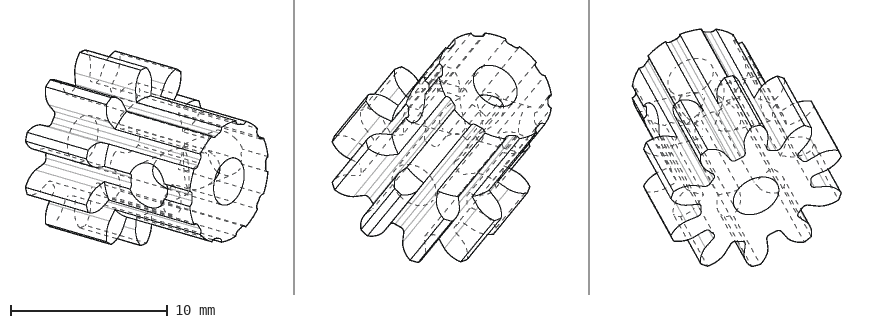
import cadquery as cq
import math

tooth_count = 10
total_length = 12.0
gear_length = 5.0
hub_radius = 4.0
bore_diameter = 3.1
cross_hole_diameter = 3.0

tip_radius = 6.0
tip_half_width = 0.29
belly_height = 4.75
belly_half_width = 0.82
root_radius = 3.73
root_half_width = 0.71
root_fillet = 0.31

tip_height = math.sqrt(tip_radius**2 - tip_half_width**2)
root_height = math.sqrt(root_radius**2 - root_half_width**2)


def flank_midpoint():
    """Middle of the flank arc that runs parallel to the tooth at its belly."""
    rise = tip_height - belly_height
    inset = belly_half_width - tip_half_width
    flank_radius = (rise**2 + inset**2) / (2 * inset)
    half_sweep = math.asin(rise / flank_radius) / 2
    across = belly_half_width - flank_radius * (1 - math.cos(half_sweep))
    height = belly_height + flank_radius * math.sin(half_sweep)
    return across, height


def rotated(point, angle):
    """Turn a profile point clockwise about the axis."""
    across, height = point
    return (
        across * math.cos(angle) + height * math.sin(angle),
        height * math.cos(angle) - across * math.sin(angle),
    )


def toothed_bar():
    """Full-length bar with the tooth outline and rounded roots."""
    pitch_angle = 2 * math.pi / tooth_count
    mid_across, mid_height = flank_midpoint()
    profile = cq.Workplane("YZ").moveTo(-root_half_width, root_height)
    for index in range(tooth_count):
        angle = index * pitch_angle

        def at(across, height):
            return rotated((across, height), angle)

        next_root = rotated((-root_half_width, root_height), angle + pitch_angle)
        profile = (
            profile.lineTo(*at(-belly_half_width, belly_height))
            .threePointArc(at(-mid_across, mid_height), at(-tip_half_width, tip_height))
            .threePointArc(at(0, tip_radius), at(tip_half_width, tip_height))
            .threePointArc(at(mid_across, mid_height), at(belly_half_width, belly_height))
            .lineTo(*at(root_half_width, root_height))
            .threePointArc(rotated((0, root_radius), angle + pitch_angle / 2), next_root)
        )
    bar = profile.close().extrude(total_length)
    root_limit = (root_radius + belly_height) / 2
    root_edges = [
        edge for edge in bar.edges("|X").vals()
        if math.hypot(edge.Center().y, edge.Center().z) < root_limit
    ]
    return bar.newObject(root_edges).fillet(root_fillet)


def hub_turning():
    """Ring that trims the teeth down to the hub diameter."""
    return (
        cq.Workplane("YZ", origin=(gear_length, 0, 0))
        .circle(tip_radius + root_fillet)
        .circle(hub_radius)
        .extrude(total_length - gear_length)
    )


def bore():
    return cq.Workplane("YZ").circle(bore_diameter / 2).extrude(total_length)


def cross_hole():
    """Set-screw hole along Y, through both sides at the middle of the hub."""
    hub_middle = (gear_length + total_length) / 2
    return (
        cq.Workplane("XZ")
        .center(hub_middle, 0)
        .circle(cross_hole_diameter / 2)
        .extrude(hub_radius + root_fillet, both=True)
    )


result = toothed_bar().cut(hub_turning()).cut(bore()).cut(cross_hole())